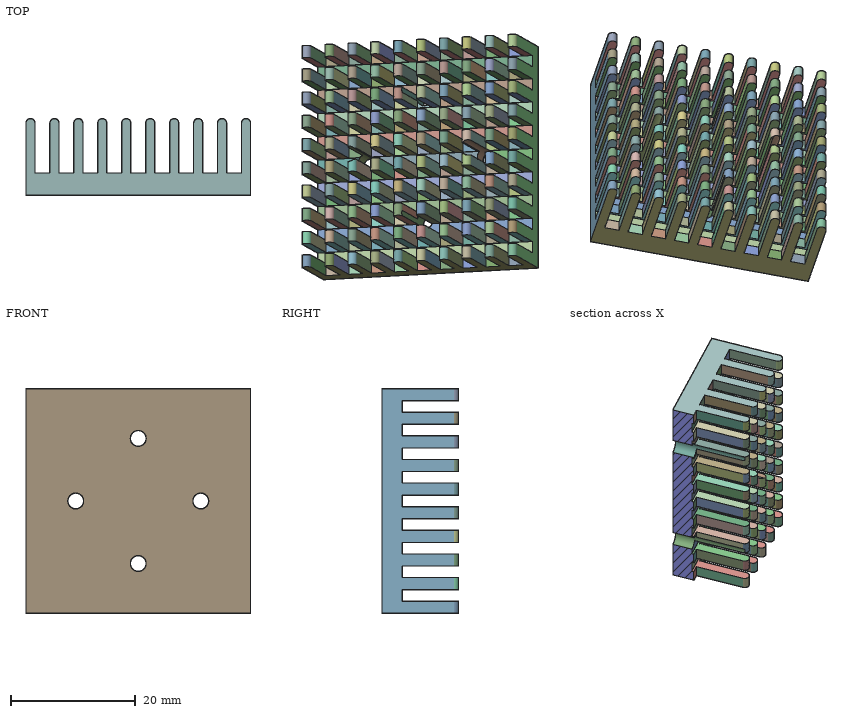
import cadquery as cq

side = 36.0
depth = 12.3

pins_per_row = 10
gap_x = 2.35
pin_z = 1.98
pin_x = (side - (pins_per_row - 1) * gap_x) / pins_per_row
pitch_x = pin_x + gap_x
pitch_z = (side - pin_z) / (pins_per_row - 1)
gap_z = pitch_z - pin_z

base_between_fins = 3.6
base_under_cross_slots = 3.28

hole_diameter = 2.5
hole_circle_radius = 10.0
hole_count = 4


def make_finned_profile():
    """Solid base carrying full-height fins with fully rounded tips."""
    base = cq.Workplane("XY").box(side, base_between_fins, side, centered=(True, False, True))
    tip_radius = pin_x / 2
    shoulder = depth - tip_radius
    fin = (
        cq.Workplane("XY")
        .workplane(offset=-side / 2)
        .moveTo(-tip_radius, 0)
        .lineTo(-tip_radius, shoulder)
        .threePointArc((0, depth), (tip_radius, shoulder))
        .lineTo(tip_radius, 0)
        .close()
        .extrude(side)
    )
    first_fin_x = (pin_x - side) / 2
    for i in range(pins_per_row):
        base = base.union(fin.translate((first_fin_x + i * pitch_x, 0, 0)))
    return base


def make_cross_slots():
    """Slots running along X that divide the fins into separate pins."""
    slot_depth = depth - base_under_cross_slots
    return (
        cq.Workplane("XY")
        .rarray(0.35, pitch_z, 1, pins_per_row - 1)
        .rect(side, gap_z)
        .extrude(slot_depth)
        .rotate((0, 0, 0), (1, 0, 0), -90)
        .translate((0, base_under_cross_slots, 0))
    )


def make_mounting_holes():
    """Cylinders on a circle, passing through the base and the pins behind it."""
    return (
        cq.Workplane("XZ")
        .polarArray(hole_circle_radius, 0, 360, hole_count)
        .circle(hole_diameter / 2)
        .extrude(-depth)
    )


result = make_finned_profile().cut(make_cross_slots()).cut(make_mounting_holes())